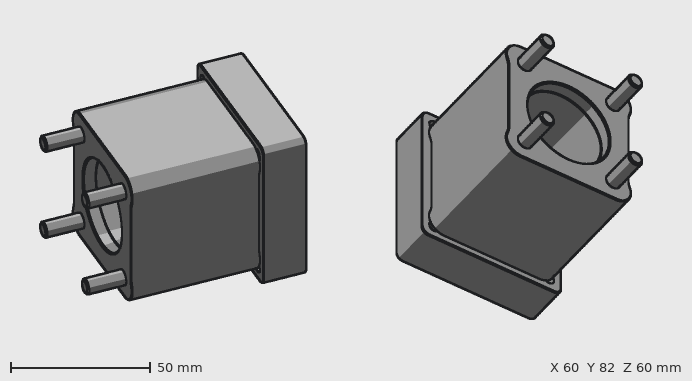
import cadquery as cq
import math

total_length = 82.0
collar_side = 60.0
collar_length = 17.0
collar_corner_radius = 3.0
pin_length = 15.0
edge_bevel = 0.3

body_half = 27.0
waist_half = 25.9
lobe_radius = 6.5
waist_flat_half = 14.85

bore_diameter = 34.0
counterbore_diameter = 35.0
counterbore_depth = 5.0
bore_bevel = 0.5
pin_diameter = 6.0
pin_spacing = 38.0
pin_bevel = 0.6

corner_hole_diameter = 4.1
corner_hole_spacing = 49.5

back_y = total_length / 2
pin_tip_y = -total_length / 2
body_front_y = pin_tip_y + pin_length
collar_front_y = back_y - collar_length
body_length = collar_front_y - body_front_y


def plane_at(y):
    """XZ plane at the given Y; extrusion goes toward -Y."""
    return cq.Workplane("XZ", origin=(0, y, 0))


def make_body():
    lobe_center = body_half - lobe_radius
    recess = body_half - waist_half
    span = lobe_center - waist_flat_half
    angle = 2 * math.atan(recess / span)
    hollow_radius = span / math.sin(angle) - lobe_radius
    hollow_center_x = waist_half + hollow_radius

    def lobe_point(turn):
        return (
            lobe_center + lobe_radius * math.cos(turn),
            lobe_center + lobe_radius * math.sin(turn),
        )

    hollow_middle = (
        hollow_center_x - hollow_radius * math.cos(angle / 2),
        waist_flat_half + hollow_radius * math.sin(angle / 2),
    )
    lobe_top_turn = math.pi / 2
    lobe_middle_turn = (lobe_top_turn - angle) / 2

    quarter = (
        plane_at(collar_front_y)
        .lineTo(waist_half, 0)
        .lineTo(waist_half, waist_flat_half)
        .threePointArc(hollow_middle, lobe_point(-angle))
        .threePointArc(lobe_point(lobe_middle_turn), lobe_point(lobe_top_turn))
        .lineTo(0, body_half)
        .close()
        .extrude(body_length)
    )
    half = quarter.union(quarter.mirror("YZ"))
    body = half.union(half.mirror("XY")).clean()
    return body.faces("<Y").chamfer(edge_bevel)


def make_collar():
    collar = (
        plane_at(back_y)
        .rect(collar_side, collar_side)
        .extrude(collar_length)
        .edges("|Y")
        .fillet(collar_corner_radius)
        .faces("<Y or >Y")
        .chamfer(edge_bevel)
    )
    corner_holes = (
        plane_at(back_y)
        .rect(corner_hole_spacing, corner_hole_spacing, forConstruction=True)
        .vertices()
        .circle(corner_hole_diameter / 2)
        .extrude(collar_length)
    )
    return collar.cut(corner_holes)


def make_pins():
    return (
        plane_at(body_front_y + edge_bevel)
        .rect(pin_spacing, pin_spacing, forConstruction=True)
        .vertices()
        .circle(pin_diameter / 2)
        .extrude(pin_length + edge_bevel)
        .faces("<Y")
        .chamfer(pin_bevel)
    )


def make_bore():
    bore = plane_at(back_y).circle(bore_diameter / 2).extrude(total_length)
    counterbore = (
        plane_at(body_front_y + counterbore_depth)
        .circle(counterbore_diameter / 2)
        .extrude(counterbore_depth)
    )
    mouth = (
        plane_at(body_front_y)
        .circle(counterbore_diameter / 2 + bore_bevel)
        .workplane(offset=-bore_bevel)
        .circle(counterbore_diameter / 2)
        .loft()
    )
    return bore.union(counterbore).union(mouth)


result = make_collar().union(make_body()).union(make_pins()).cut(make_bore())